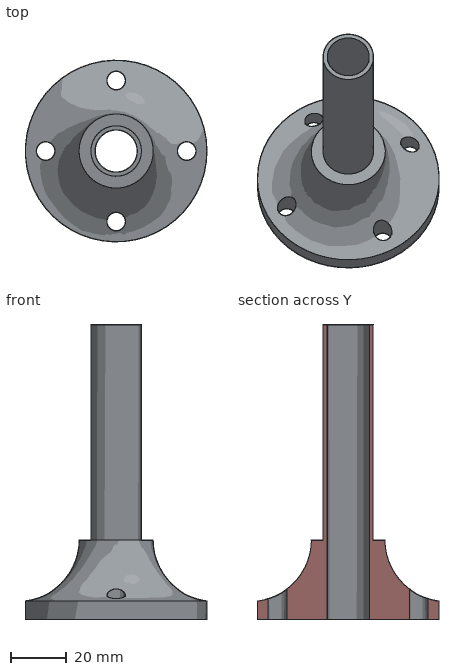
import cadquery as cq
import math

total_height = 105.5
flange_diameter = 65.0
flange_thickness = 6.6
collar_diameter = 26.5
collar_top = 28.4

flare_radius = 22.0

tube_diameter = 18.0
bore_diameter = 15.0

hole_diameter = 6.5
hole_circle_diameter = 50.4
hole_count = 4

flange_radius = flange_diameter / 2
collar_radius = collar_diameter / 2


def make_base():
    """Revolve the flange and its flare."""
    start = (flange_radius, flange_thickness)
    end = (collar_radius, collar_top)
    run = start[0] - end[0]
    rise = end[1] - start[1]
    chord = math.hypot(run, rise)
    sagitta = flare_radius - math.sqrt(flare_radius**2 - (chord / 2) ** 2)
    middle = (
        (start[0] + end[0]) / 2 - sagitta * rise / chord,
        (start[1] + end[1]) / 2 - sagitta * run / chord,
    )
    return (
        cq.Workplane("XZ")
        .lineTo(flange_radius, 0)
        .lineTo(*start)
        .threePointArc(middle, end)
        .lineTo(0, collar_top)
        .close()
        .revolve(360, (0, 0, 0), (0, 1, 0))
    )


def make_tube():
    return cq.Workplane("XY").circle(tube_diameter / 2).extrude(total_height)


def make_bore():
    return cq.Workplane("XY").circle(bore_diameter / 2).extrude(total_height)


def make_mounting_holes():
    return (
        cq.Workplane("XY")
        .polarArray(hole_circle_diameter / 2, 0, 360, hole_count)
        .circle(hole_diameter / 2)
        .extrude(collar_top)
    )


result = make_base().union(make_tube()).cut(make_bore()).cut(make_mounting_holes())